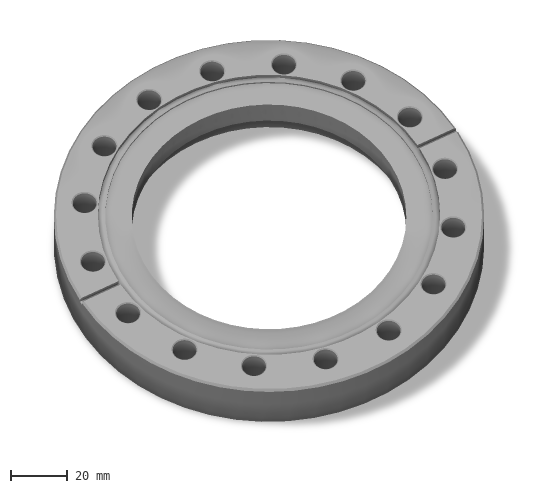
import cadquery as cq
import math

outer_diameter = 151.64
thickness = 19.81
rim_chamfer = 0.76

seat_diameter = 120.6
seat_depth = 1.6
knife_diameter = 115.3
knife_tip_depth = 0.6
inner_face_depth = 1.3

bore_diameter = 96.8
socket_diameter = 103.4
socket_depth = 8.7

bolt_count = 16
bolt_circle_diameter = 130.3
bolt_hole_diameter = 8.4
bolt_hole_chamfer = 0.4

groove_width = 1.6
groove_depth = 1.8
groove_angles = (90 - 180 / bolt_count, 270 - 180 / bolt_count)


def flange_body():
    """Revolve the ring section, including the knife edge and stepped bore."""
    outer_radius = outer_diameter / 2
    seat_radius = seat_diameter / 2
    knife_radius = knife_diameter / 2
    bore_radius = bore_diameter / 2
    socket_radius = socket_diameter / 2
    section = (
        cq.Workplane("XZ")
        .moveTo(socket_radius, 0)
        .lineTo(outer_radius - rim_chamfer, 0)
        .lineTo(outer_radius, rim_chamfer)
        .lineTo(outer_radius, thickness - rim_chamfer)
        .lineTo(outer_radius - rim_chamfer, thickness)
        .lineTo(seat_radius, thickness)
        .lineTo(seat_radius, thickness - seat_depth)
        .lineTo(knife_radius, thickness - knife_tip_depth)
        .lineTo(knife_radius, thickness - inner_face_depth)
        .lineTo(bore_radius, thickness - inner_face_depth)
        .lineTo(bore_radius, socket_depth)
        .lineTo(socket_radius, socket_depth)
        .close()
    )
    return section.revolve(360, (0, 0, 0), (0, 1, 0))


def bolt_holes():
    """Through holes evenly spaced on the bolt circle, chamfered at the top face."""
    hole_radius = bolt_hole_diameter / 2
    cutter = (
        cq.Workplane("XZ")
        .lineTo(hole_radius, 0)
        .lineTo(hole_radius, thickness - bolt_hole_chamfer)
        .lineTo(hole_radius + bolt_hole_chamfer, thickness)
        .lineTo(0, thickness)
        .close()
        .revolve(360, (0, 0, 0), (0, 1, 0))
        .val()
    )
    return (
        cq.Workplane("XY")
        .polarArray(bolt_circle_diameter / 2, 0, 360, bolt_count)
        .eachpoint(lambda location: cutter.moved(location))
    )


def leak_check_groove(angle):
    """Radial slot across the top face, from the seat wall out past the rim."""
    inner_end = math.sqrt((seat_diameter / 2) ** 2 - (groove_width / 2) ** 2)
    overrun = groove_width
    length = outer_diameter / 2 + overrun - inner_end
    return (
        cq.Workplane("XY")
        .box(length, groove_width, groove_depth, centered=(False, True, False))
        .translate((inner_end, 0, thickness - groove_depth))
        .rotate((0, 0, 0), (0, 0, 1), angle)
    )


result = flange_body().cut(bolt_holes())
for groove_angle in groove_angles:
    result = result.cut(leak_check_groove(groove_angle))